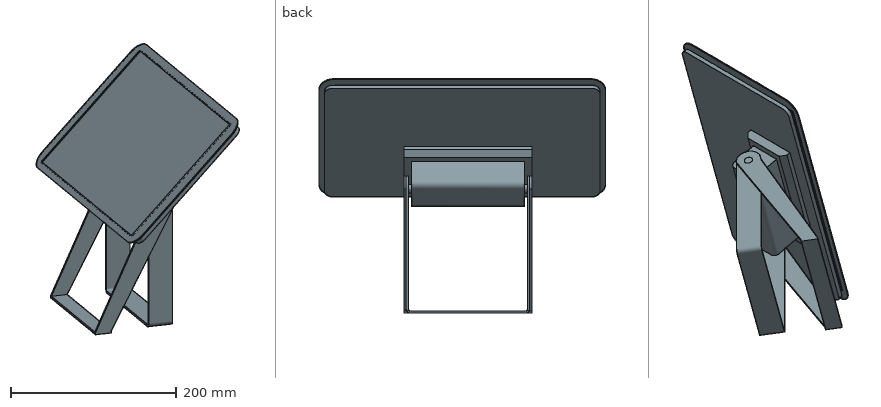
import cadquery as cq
import math

TILT = 45.0

COVER_WIDTH = 346.5
COVER_HEIGHT = 198.8
COVER_THICKNESS = 1.5
COVER_CORNER_RADIUS = 19.0
COVER_OFFSET_X = 7.0
COVER_OFFSET_V = 40.5
COVER_FRONT = 48.5
BOX_DEPTH = 1.5

SCREEN_WIDTH = 309.5
SCREEN_HEIGHT = 179.0
SCREEN_OFFSET_X = 4.0
SCREEN_OFFSET_V = 39.5
SCREEN_DEPTH = 1.7
BOX_WALL = 1.5

PLATE_MARGIN = 6.5
PLATE_THICKNESS = 5.2
PLATE_CORNER_RADIUS = 10.0
PLATE_FRONT = 43.5
PAD_WIDTH = 154.8
PAD_HALF_HEIGHT = 34.0
PAD_BACK = 26.3
PAD_CHAMFER = 7.0
ARM_HALF_HEIGHT = 20.0
ARM_END = -14.0
ARM_FILLET = 7.0
ARM_WIDTH = 136.5
PIN_DIAMETER = 10.0

LEG_OUTER_WIDTH = 154.8
LEG_THICKNESS = 2.8
LEG_RADIUS = 15.2
PIVOT_HEIGHT = 150.3
FOOT_FRONT = -85.2
FOOT_BACK = -64.8
BEND_OUTER_RADIUS = 5.2

COVER_CENTER = (COVER_OFFSET_X, COVER_OFFSET_V)
COVER_BACK = COVER_FRONT - COVER_THICKNESS
SCREEN_CENTER = (SCREEN_OFFSET_X, SCREEN_OFFSET_V)
BOX_WIDTH = SCREEN_WIDTH + 2 * BOX_WALL
BOX_HEIGHT = SCREEN_HEIGHT + 2 * BOX_WALL
PLATE_WIDTH = COVER_WIDTH - 2 * PLATE_MARGIN
PLATE_HEIGHT = COVER_HEIGHT - 2 * PLATE_MARGIN
PLATE_BACK = PLATE_FRONT - PLATE_THICKNESS
BEND_INNER_RADIUS = BEND_OUTER_RADIUS - LEG_THICKNESS


def tilted(height):
    """Plane parallel to the display, at a height above the pivot axis."""
    angle = math.radians(TILT)
    normal = cq.Vector(0, -math.sin(angle), math.cos(angle))
    return cq.Plane(origin=normal * height, xDir=(1, 0, 0), normal=normal)


def block(height, center, width, length, thickness):
    """Rectangular block on the tilted plane at the given height; negative thickness goes backward."""
    return cq.Workplane(tilted(height)).center(*center).rect(width, length).extrude(thickness)


def rounded_slab(height, center, width, length, thickness, corner_radius):
    """Tilted block with its four corners rounded."""
    along_normal = cq.selectors.ParallelDirSelector(tilted(height).zDir)
    return block(height, center, width, length, thickness).edges(along_normal).fillet(corner_radius)


def rear_edges(body):
    """Edges along X on the rearmost tilted face of a block."""
    rearmost = cq.selectors.DirectionMinMaxSelector(tilted(0).zDir, False)
    return body.faces(rearmost).edges("|X")


def make_display_front():
    """Rounded cover with a screen recess that reaches into a shallow box behind it."""
    cover = rounded_slab(COVER_BACK, COVER_CENTER, COVER_WIDTH, COVER_HEIGHT, COVER_THICKNESS,
                         COVER_CORNER_RADIUS)
    box = block(COVER_BACK, SCREEN_CENTER, BOX_WIDTH, BOX_HEIGHT, -BOX_DEPTH)
    recess = block(COVER_FRONT, SCREEN_CENTER, SCREEN_WIDTH, SCREEN_HEIGHT, -SCREEN_DEPTH)
    return cover.union(box).cut(recess)


def make_back_plate():
    """Back plate with its mounting pad, pivot arm and pivot pin."""
    plate = rounded_slab(PLATE_BACK, COVER_CENTER, PLATE_WIDTH, PLATE_HEIGHT, PLATE_THICKNESS,
                         PLATE_CORNER_RADIUS)
    pad = block(PAD_BACK, (0, 0), PAD_WIDTH, 2 * PAD_HALF_HEIGHT, PLATE_BACK - PAD_BACK)
    pad = rear_edges(pad).chamfer(PAD_CHAMFER)
    arm = block(ARM_END, (0, 0), ARM_WIDTH, 2 * ARM_HALF_HEIGHT, PAD_BACK - ARM_END)
    arm = rear_edges(arm).fillet(ARM_FILLET)
    pin = cq.Workplane("YZ").circle(PIN_DIAMETER / 2).extrude(LEG_OUTER_WIDTH / 2, both=True)
    return plate.union(pad).union(arm).union(pin)


def leg_side(front, back, width):
    """Round-topped side outline reaching down to a foot, spread over the full leg width."""
    side = (
        cq.Workplane("YZ")
        .moveTo(LEG_RADIUS, 0)
        .threePointArc((0, LEG_RADIUS), (-LEG_RADIUS, 0))
        .lineTo(front, LEG_THICKNESS - PIVOT_HEIGHT)
        .lineTo(front, -PIVOT_HEIGHT)
        .lineTo(back, -PIVOT_HEIGHT)
        .lineTo(back, LEG_THICKNESS - PIVOT_HEIGHT)
        .close()
        .extrude(width / 2, both=True)
    )
    pivot_hole = cq.Workplane("YZ").circle(PIN_DIAMETER / 2).extrude(width / 2, both=True)
    return side.cut(pivot_hole)


def leg_interior(width):
    """Space between the two sides of a leg, above its foot."""
    return (
        cq.Workplane("XY", origin=(0, 0, LEG_THICKNESS - PIVOT_HEIGHT))
        .rect(width - 2 * LEG_THICKNESS, 2 * PIVOT_HEIGHT)
        .extrude(2 * PIVOT_HEIGHT)
    )


def make_slanted_leg():
    """Outer leg, leaning forward, with sharp corners at its foot."""
    return leg_side(FOOT_FRONT, FOOT_BACK, LEG_OUTER_WIDTH).cut(leg_interior(LEG_OUTER_WIDTH))


def make_upright_leg():
    """Inner leg, nested between the sides of the slanted leg, with bent corners at its foot."""
    width = LEG_OUTER_WIDTH - 2 * LEG_THICKNESS
    outside = leg_side(-LEG_RADIUS, LEG_RADIUS, width).faces("<Z").edges("|Y").fillet(BEND_OUTER_RADIUS)
    inside = leg_interior(width).faces("<Z").edges("|Y").fillet(BEND_INNER_RADIUS)
    return outside.cut(inside)


display_front = make_display_front()
back_plate = make_back_plate()
slanted_leg = make_slanted_leg()
upright_leg = make_upright_leg()

result = cq.Compound.makeCompound(
    [display_front.val(), back_plate.val(), slanted_leg.val(), upright_leg.val()]
)